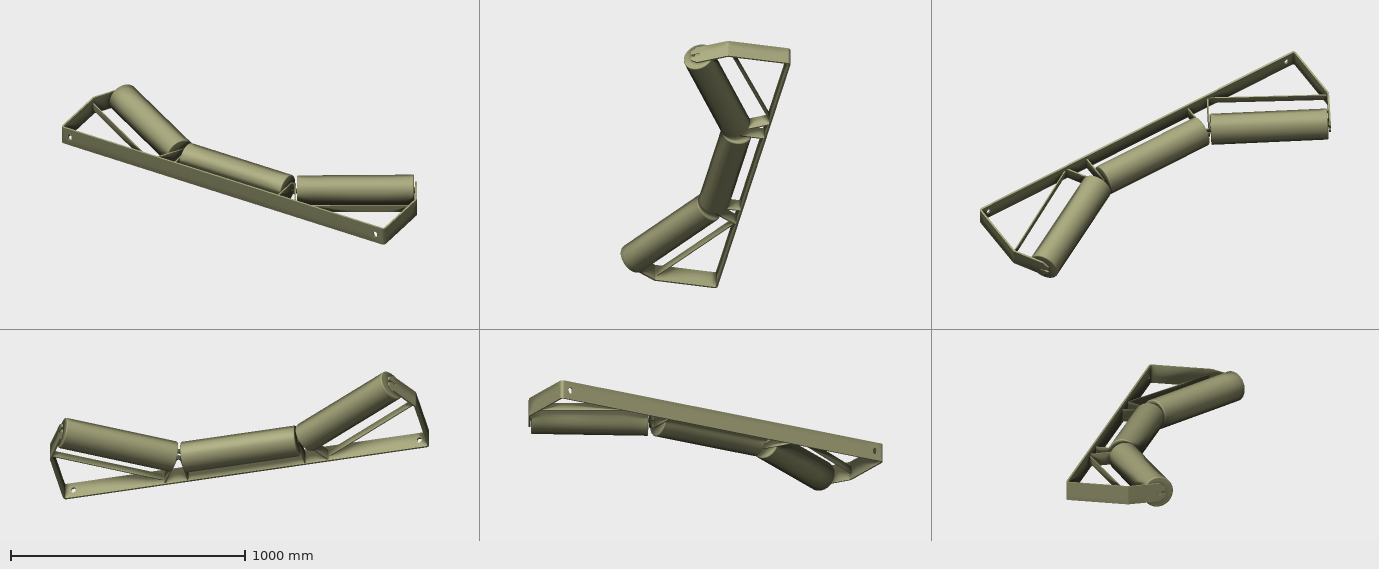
import cadquery as cq
import math


frame_length = 1600.0
frame_thickness = 8.0
frame_height = 80.0
bend_radius = 15.0

trough_angle = 30.0
trough_cos = math.cos(math.radians(trough_angle))
trough_sin = math.sin(math.radians(trough_angle))
trough_tan = math.tan(math.radians(trough_angle))

half_length = frame_length / 2
bend_y = 274.0
leg_length = 166.0
tip_chamfer_along = 25.0
tip_chamfer_across = 18.0
mount_hole_inset = 45.0
mount_hole_width = 20.0
mount_hole_height = 27.0

bracket_thickness = 6.0
bracket_height = 55.0
bracket_leg_x = 253.0
bracket_foot_x = 358.0

brace_thickness = 5.0
brace_height = 32.0
brace_foot_x = 363.0
brace_top_y = 264.0

roller_length = 500.0
roller_diameter = 133.0
roller_edge_radius = 5.0
shaft_diameter = 24.0
shaft_flats = 15.0
shaft_overhang = 10.0
center_roller_y = 125.0
side_roller_x = 504.0
side_roller_y = 262.0
side_roller_rise = 6.0
outer_end_z = -2.0
center_roller_z = outer_end_z - side_roller_rise
side_tilt = math.asin(side_roller_rise / roller_length)


center_axis = cq.Plane(
    origin=(0, center_roller_y, center_roller_z), xDir=(0, 0, 1), normal=(-1, 0, 0)
)
left_axis = cq.Plane(
    origin=(-side_roller_x, side_roller_y, outer_end_z - side_roller_rise / 2),
    xDir=(trough_cos * math.sin(side_tilt), -trough_sin * math.sin(side_tilt), math.cos(side_tilt)),
    normal=(-trough_cos * math.cos(side_tilt), trough_sin * math.cos(side_tilt), math.sin(side_tilt)),
)


def make_roller(axis):
    """Round-edged roller with a shaft end, flattened on two sides, at each end."""
    shell = cq.Workplane(axis).workplane(offset=-roller_length / 2)
    shell = shell.circle(roller_diameter / 2).extrude(roller_length)
    shell = shell.edges().fillet(roller_edge_radius)
    shaft_half = roller_length / 2 + shaft_overhang
    shaft = cq.Workplane(axis).circle(shaft_diameter / 2).extrude(shaft_half, both=True)
    flats = cq.Workplane(axis).rect(shaft_flats, shaft_diameter).extrude(shaft_half, both=True)
    return shell.union(shaft.intersect(flats))


def shaft_slot(axis):
    """Cutter for the open slots that take both ends of one roller shaft."""
    reach = roller_length / 2 + 2 * shaft_overhang
    slot_depth = roller_diameter / 2
    bottom = cq.Workplane(axis).circle(shaft_diameter / 2).extrude(reach, both=True)
    opening = cq.Workplane(axis).center(0, slot_depth / 2).rect(shaft_flats, slot_depth)
    opening = opening.extrude(reach, both=True)
    sides = cq.Workplane(axis).rect(shaft_flats, 2 * slot_depth).extrude(reach, both=True)
    return bottom.union(opening).intersect(sides)


def extrude_strip(points, height, middle_z=0):
    """Outline in XY extruded to the given height, half of it on each side of middle_z."""
    bottom = cq.Workplane("XY").workplane(offset=middle_z - height / 2)
    return bottom.polyline(points).close().extrude(height)


def round_bend(strip, outer_corner, inner_corner, outer_radius, inner_radius):
    """Round both sides of one bend about a common centre."""
    for corner, radius in ((outer_corner, outer_radius), (inner_corner, inner_radius)):
        strip = strip.edges("|Z").edges(cq.NearestToPointSelector((*corner, 0))).fillet(radius)
    return strip


def make_left_frame():
    """Left half of the frame: base bar, end post and leaning leg."""
    t = frame_thickness
    corner = (-half_length, 0)
    inner_corner = (-half_length + t, t)
    bend = (-half_length, bend_y)
    inner_bend = (-half_length + t, bend_y - t * math.tan(math.radians(trough_angle / 2)))
    tip = (-half_length + leg_length * trough_sin, bend_y + leg_length * trough_cos)
    inner_tip = (tip[0] + t * trough_cos, tip[1] - t * trough_sin)
    half = extrude_strip([(0, 0), corner, bend, tip, inner_tip, inner_bend, inner_corner, (0, t)], frame_height)
    half = round_bend(half, corner, inner_corner, bend_radius, bend_radius - t)
    half = round_bend(half, bend, inner_bend, bend_radius, bend_radius - t)

    leg_face = cq.Plane(
        origin=(*tip, 0), xDir=(trough_sin, trough_cos, 0), normal=(trough_cos, -trough_sin, 0)
    )
    edge = frame_height / 2
    for side in (1, -1):
        chamfer = cq.Workplane(leg_face).polyline(
            [(0, side * edge), (-tip_chamfer_along, side * edge), (0, side * (edge - tip_chamfer_across))]
        )
        half = half.cut(chamfer.close().extrude(bend_radius, both=True))

    hole = cq.Workplane("XZ").center(-half_length + mount_hole_inset, 0)
    hole = hole.slot2D(mount_hole_height, mount_hole_width, 90).extrude(bend_radius, both=True)
    return half.cut(hole)


def make_left_bracket():
    """Inverted V standing on the base bar between the left and centre rollers."""
    t = bracket_thickness
    base = frame_thickness
    apex = (-bracket_leg_x, base + (bracket_foot_x - bracket_leg_x) / trough_tan)
    inner_foot_x = bracket_foot_x - t / trough_cos
    inner_apex = (-bracket_leg_x - t, base + (inner_foot_x - bracket_leg_x - t) / trough_tan)
    bracket = extrude_strip([
        (-bracket_foot_x, base), apex, (-bracket_leg_x, base),
        (-bracket_leg_x - t, base), inner_apex, (-inner_foot_x, base),
    ], bracket_height, center_roller_z)
    bracket = round_bend(bracket, apex, inner_apex, bend_radius, bend_radius - t)
    return bracket.cut(shaft_slot(center_axis)).cut(shaft_slot(left_axis))


def make_left_brace():
    """Sloping strip from the end post down to the base bar."""
    t = brace_thickness
    base = frame_thickness
    post_x = half_length - frame_thickness
    slope = math.atan2(brace_top_y - base, post_x - brace_foot_x)
    return extrude_strip([
        (-post_x, brace_top_y), (-brace_foot_x, base),
        (-brace_foot_x - t / math.sin(slope), base), (-post_x, brace_top_y - t / math.cos(slope)),
    ], brace_height)


left_frame = make_left_frame().cut(shaft_slot(left_axis))
frame = left_frame.union(left_frame.mirror("YZ"))
center_roller = make_roller(center_axis)

bodies = [frame.val(), center_roller.val()]
for left_body in (make_roller(left_axis), make_left_bracket(), make_left_brace()):
    bodies.append(left_body.val())
    bodies.append(left_body.mirror("YZ").val())

result = cq.Compound.makeCompound(bodies)